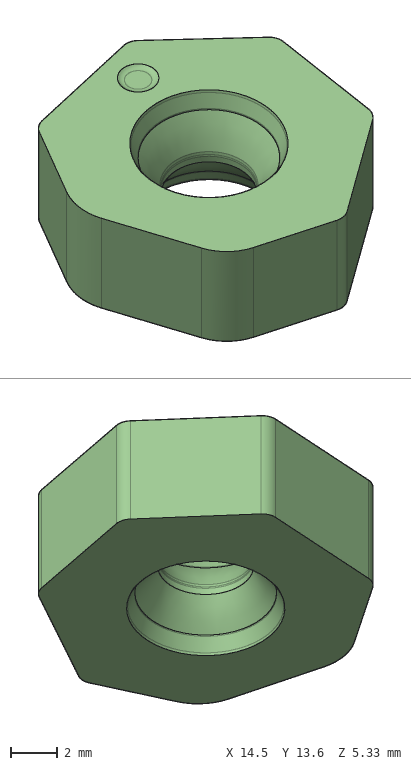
import cadquery as cq
import math

thickness = 5.33
side_distance = 6.7
lower_side_distance = 6.82
base_distance = 6.24
side_turn = 360 / 7
lower_side_angle = -40.8
corner_radius = 0.8
base_corner_radius = 2.71

rim_radius = 3.44
wall_top_radius = 3.4
rim_depth = 0.12
seat_radius = 3.09
seat_depth = 0.78
seat_step_radius = 3.08
seat_step_depth = 0.84
bore_radius = 2.09
bore_entry_radius = 2.13
bore_entry_depth = 2.45
bore_lip_radius = 2.1
bore_lip_depth = 2.6
bore_top_depth = 2.68
bore_bottom_depth = 2.3
seat_curve_radius = 5.8

dimple_x = -4.5
dimple_y = 2.61
dimple_radius = 0.9
dimple_floor_radius = 0.6
dimple_depth = 0.12
dimple_wall_radius = 0.46


def side_crossing(angle_a, distance_a, angle_b, distance_b):
    """Point where two sides meet, each given by its facing angle and distance."""
    a = math.radians(angle_a)
    b = math.radians(angle_b)
    spread = math.sin(b - a)
    x = (distance_a * math.sin(b) - distance_b * math.sin(a)) / spread
    y = (distance_b * math.cos(a) - distance_a * math.cos(b)) / spread
    return x, y


def make_body():
    right_angle = 90 - 1.5 * side_turn
    upper_angle = 90 - 0.5 * side_turn
    base_corner = side_crossing(-90, base_distance, lower_side_angle, lower_side_distance)
    side_corner = side_crossing(lower_side_angle, lower_side_distance, right_angle, side_distance)
    shoulder = side_crossing(right_angle, side_distance, upper_angle, side_distance)
    top_corner = (0, side_distance / math.cos(math.radians(side_turn / 2)))

    right_half = [base_corner, side_corner, shoulder]
    left_half = [(-x, y) for x, y in reversed(right_half)]
    body = cq.Workplane("XY").polyline(right_half + [top_corner] + left_half).close().extrude(thickness)
    body = body.edges("|Z and <Y").fillet(base_corner_radius)

    lowest_sharp_y = side_corner[1] - corner_radius
    reach = 2 * side_distance
    sharp_corners = cq.selectors.BoxSelector((-reach, lowest_sharp_y, 0), (reach, reach, thickness))
    return body.edges("|Z").edges(sharp_corners).fillet(corner_radius)


def make_hole():
    profile = (
        cq.Workplane("XZ")
        .moveTo(0, thickness)
        .lineTo(rim_radius, thickness)
        .lineTo(wall_top_radius, thickness - rim_depth)
        .lineTo(seat_radius, thickness - seat_depth)
        .lineTo(seat_step_radius, thickness - seat_step_depth)
        .radiusArc((bore_entry_radius, thickness - bore_entry_depth), -seat_curve_radius)
        .lineTo(bore_lip_radius, thickness - bore_lip_depth)
        .lineTo(bore_radius, thickness - bore_top_depth)
        .lineTo(bore_radius, bore_bottom_depth)
        .radiusArc((seat_step_radius, seat_step_depth), -seat_curve_radius)
        .lineTo(seat_radius, seat_depth)
        .lineTo(wall_top_radius, rim_depth)
        .lineTo(rim_radius, 0)
        .lineTo(0, 0)
        .close()
    )
    return profile.revolve(360, (0, 0), (0, 1))


def make_dimple():
    profile = (
        cq.Workplane("XZ")
        .moveTo(0, thickness)
        .lineTo(dimple_radius, thickness)
        .radiusArc((dimple_floor_radius, thickness - dimple_depth), dimple_wall_radius)
        .lineTo(0, thickness - dimple_depth)
        .close()
    )
    return profile.revolve(360, (0, 0), (0, 1)).translate((dimple_x, dimple_y, 0))


result = make_body().cut(make_hole()).cut(make_dimple())